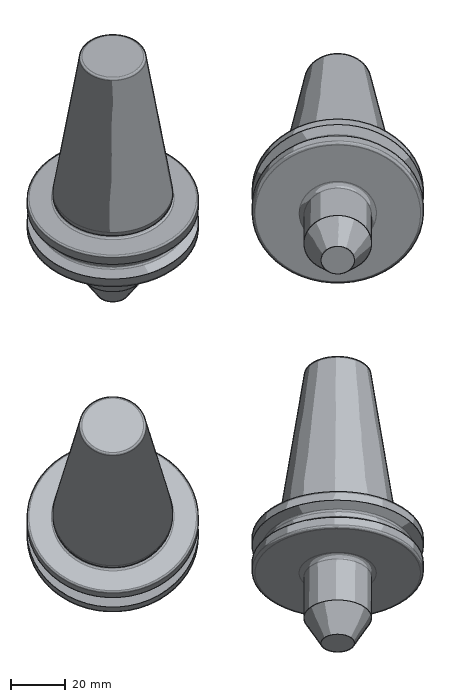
import cadquery as cq
import math

total_length = 118.2
flange_bottom = 30.7
flange_top = 46.7
gauge_height = 49.9

gauge_radius = 22.2
taper_slope = 7 / 24 / 2
shank_end_radius = gauge_radius - taper_slope * (total_length - gauge_height)
shank_end_round = 1.0

band_bottom = 48.2
relief_depth = 0.5
relief_radius = gauge_radius - relief_depth
relief_fillet = 1.0

flange_diameter = 63.5
flange_radius = flange_diameter / 2
flange_top_round = 0.7
flange_bottom_round = 1.1
groove_root_radius = 28.0
groove_root_bottom = 37.4
groove_root_top = 40.5
groove_root_fillet = 1.0
groove_flank_angle = math.radians(30)
groove_flank_rise = (flange_radius - groove_root_radius) * math.tan(groove_flank_angle)

pilot_radius = 12.5
pilot_fillet = 1.8
cone_height = 11.0
cone_half_angle = math.radians(30)
cone_end_radius = pilot_radius - cone_height * math.tan(cone_half_angle)

profile = (
    cq.Workplane("XZ")
    .moveTo(0, 0)
    .lineTo(cone_end_radius, 0)
    .lineTo(pilot_radius, cone_height)
    .lineTo(pilot_radius, flange_bottom - pilot_fillet)
    .radiusArc((pilot_radius + pilot_fillet, flange_bottom), pilot_fillet)
    .lineTo(flange_radius - flange_bottom_round, flange_bottom)
    .radiusArc((flange_radius, flange_bottom + flange_bottom_round), -flange_bottom_round)
    .lineTo(flange_radius, groove_root_bottom - groove_flank_rise)
    .lineTo(groove_root_radius, groove_root_bottom)
    .lineTo(groove_root_radius, groove_root_top)
    .lineTo(flange_radius, groove_root_top + groove_flank_rise)
    .lineTo(flange_radius, flange_top - flange_top_round)
    .radiusArc((flange_radius - flange_top_round, flange_top), -flange_top_round)
    .lineTo(relief_radius + relief_fillet, flange_top)
    .radiusArc((relief_radius, flange_top + relief_fillet), relief_fillet)
    .lineTo(gauge_radius, band_bottom)
    .lineTo(gauge_radius, gauge_height)
    .lineTo(shank_end_radius, total_length)
    .lineTo(0, total_length)
    .close()
)
body = profile.revolve(360, (0, 0, 0), (0, 1, 0))

groove_root = cq.selectors.BoxSelector(
    (-flange_radius, -flange_radius, groove_root_bottom - groove_root_fillet),
    (flange_radius, flange_radius, groove_root_top + groove_root_fillet),
)
body = body.edges(groove_root).edges("%CIRCLE").fillet(groove_root_fillet)
result = body.faces(">Z").edges().fillet(shank_end_round)